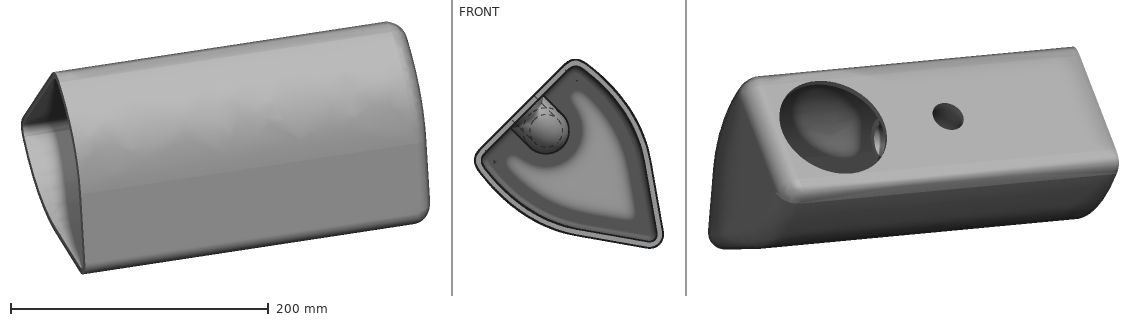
import cadquery as cq
import math

length = 289.7
half_length = length / 2
wall = 5.0
end_round = 15.0
inner_end_round = 5.0

flat_u = -51.5
flat_half_width = 44.5
shoulder_u = -38.8
shoulder_v = 59.0
shoulder_slope = math.radians(7.6)
corner_fullness = 0.73
side_end_u = 48.5
side_pull = 30.7
apex_u = 107.0
half_apex_angle = math.radians(35)
apex_radius = 10.7

window_radius = 44.0
window_from_end = 60.3

socket_radius = 12.7
boss_radius = 18.0
pipe_from_end = 160.0
inlet_length = 6.5
bend_radius = 19.7
outlet_length = 29.0

section_plane = cq.Plane(origin=(0, -half_length, 0), xDir=(1, 0, -1), normal=(0, 1, 0))


def toward(start, end, fraction):
    """Point at the given fraction of the way from start to end."""
    return tuple(a + fraction * (b - a) for a, b in zip(start, end))


def mirrored(points):
    """The same points across the u axis, in reverse order."""
    return [(u, -v) for u, v in reversed(points)]


def offset_point(u, v, slope, distance):
    """Point moved by distance to the right of a curve that heads in direction slope."""
    return (u + distance * math.sin(slope), v - distance * math.cos(slope))


def section(inset):
    """Closed shield outline with soft back corners and a rounded apex, moved inward by inset."""
    flat_end = (flat_u + inset, flat_half_width)
    shoulder = offset_point(shoulder_u, shoulder_v, shoulder_slope, inset)
    sharp_corner = (flat_end[0], shoulder[1] - (shoulder[0] - flat_end[0]) * math.tan(shoulder_slope))
    corner = [
        flat_end,
        toward(flat_end, sharp_corner, corner_fullness),
        toward(shoulder, sharp_corner, corner_fullness),
        shoulder,
    ]

    side_end_v = (apex_u - side_end_u) * math.tan(half_apex_angle)
    side_end = offset_point(side_end_u, side_end_v, -half_apex_angle, inset)
    pull = side_pull - inset * (shoulder_slope + half_apex_angle) / 3
    side = [
        shoulder,
        (shoulder[0] + pull * math.cos(shoulder_slope), shoulder[1] + pull * math.sin(shoulder_slope)),
        (side_end[0] - pull * math.cos(half_apex_angle), side_end[1] + pull * math.sin(half_apex_angle)),
        side_end,
    ]

    apex_center_u = apex_u - apex_radius / math.sin(half_apex_angle)
    radius = apex_radius - inset
    apex_start_u = apex_center_u + radius * math.sin(half_apex_angle)
    apex_start_v = radius * math.cos(half_apex_angle)
    return (
        cq.Workplane(section_plane)
        .moveTo(*flat_end)
        .bezier(corner)
        .bezier(side)
        .lineTo(apex_start_u, apex_start_v)
        .threePointArc((apex_center_u + radius, 0), (apex_start_u, -apex_start_v))
        .lineTo(side_end[0], -side_end[1])
        .bezier(mirrored(side))
        .bezier(mirrored(corner))
        .close()
    )


def flat_face_plane(from_end):
    """Plane on the flat back at a distance from the closed end, its normal pointing inward."""
    origin = section_plane.toWorldCoords((flat_u, 0, length - from_end))
    return cq.Plane(origin=origin, xDir=(0, 1, 0), normal=(1, 0, -1))


def elbow(radius):
    """Round rod along the pipe's centre line: straight inlet, quarter bend, straight outlet."""
    plane = flat_face_plane(pipe_from_end)
    inlet = cq.Workplane(plane).circle(radius).extrude(inlet_length)
    bend = (
        cq.Workplane(plane)
        .workplane(offset=inlet_length)
        .circle(radius)
        .revolve(90, (bend_radius, 0, 0), (bend_radius, 1, 0))
    )
    outlet_origin = plane.toWorldCoords((bend_radius, 0, inlet_length + bend_radius))
    outlet_plane = cq.Plane(origin=outlet_origin, xDir=(1, 0, -1), normal=(0, 1, 0))
    outlet = cq.Workplane(outlet_plane).circle(radius).extrude(outlet_length)
    return inlet.union(bend).union(outlet)


outer = section(0).extrude(length).faces(">Y").edges().fillet(end_round)
cavity = section(wall).extrude(length - wall)
cavity = cavity.faces(">Y").edges().fillet(inner_end_round)
window = cq.Workplane(flat_face_plane(window_from_end)).circle(window_radius).extrude(2 * wall)

result = outer.cut(cavity.cut(elbow(boss_radius)))
result = result.cut(elbow(socket_radius)).cut(window)